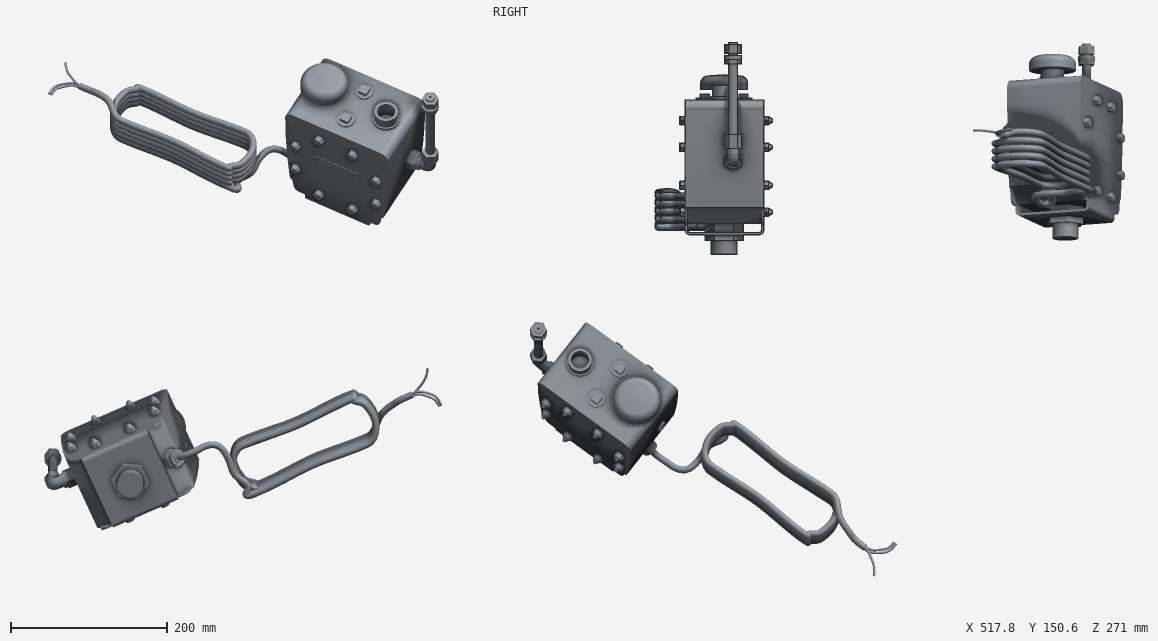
import cadquery as cq
import math

FRONT_Y = -49.5
BACK_Y = 51.0
DEPTH = BACK_Y - FRONT_Y
MIDDLE_Y = (FRONT_Y + BACK_Y) / 2
HALF_WIDTH = 74.5
TOP_Z = 85.0
BOTTOM_Z = -73.0
COVER_BOTTOM_Z = -75.0
TOP_FILLET = 11.5
SKIN_END_Z = -52.5
LEDGE_Z = -55.5
SIDE_TAPER = 6.5
LEDGE_WIDTH = 3.5
COVER_THICKNESS = 3.0
COVER_CORNER_INSET = 3.0
COVER_FILLET = 8.5

BOLT_SHORT = 24.5
BOLT_LONG = 58.5
BOLT_FLATS = 11.0
BOLT_HEX_HEIGHT = 6.0
BOLT_FACE_DIAMETER = 10.5
BOLT_FACE_HEIGHT = 1.0
DOME_DIAMETER = 10.0
DOME_HEIGHT = 4.9
DOME_SLOPE = 32

PLATE_WIDTH = 60.0
PLATE_HEIGHT = 33.0
PLATE_THICKNESS = 0.5
PLATE_X = 1.0
PLATE_Z = 2.5

BUTTON_X = -45.0
BUTTON_RADIUS = 30.0
BUTTON_CROWN_RADIUS = 22.5
BUTTON_BOTTOM_Z = 98.0
BUTTON_RIM_Z = 104.5
BUTTON_CROWN_Z = 115.5
BUTTON_TOP_Z = 117.0
STEM_DIAMETER = 30.0

NECK_X = 45.0
NECK_DIAMETER = 30.0
NECK_BORE = 23.5
NECK_TOP_Z = 103.5
NECK_BORE_DEPTH = 23.5
BASE_RING_DIAMETER = 33.5
BASE_RING_HEIGHT = 4.0

TOP_PLUG_Y = 25.0
TOP_PLUG_FLANGE_DIAMETER = 22.0
TOP_PLUG_FLANGE_HEIGHT = 2.5
TOP_PLUG_SQUARE = 12.0
TOP_PLUG_HEIGHT = 8.0

SIDE_PLUG_DIAMETER = 15.0
SIDE_PLUG_BORE = 12.0
SIDE_PLUG_Y = -14.0
SIDE_PLUG_Z = 6.5
SIDE_PLUG_PROUD = 1.5

BRACKET_WIDTH = 91.0
BRACKET_BOTTOM_Z = -87.5
BRACKET_THICKNESS = 3.0
BRACKET_BEND_RADIUS = 6.0
NUT_FLATS = 42.5
NUT_BOTTOM_Z = -95.0
CONNECTOR_DIAMETER = 33.0
CONNECTOR_BOTTOM_Z = -112.5

FITTING_Y = 11.5
FITTING_Z = 6.5
FITTING_START_X = 70.0
FITTING_HEX_FLATS = 22.0
FITTING_HEX_END_X = 85.5
FITTING_COLLAR_DIAMETER = 19.5
FITTING_COLLAR_END_X = 90.0
ELBOW_DIAMETER = 15.0
ELBOW_BEND_RADIUS = 8.0
RISER_X = 103.0
RISER_DIAMETER = 12.0
RISER_TOP_Z = 158.5
RISER_BORE = 3.0
RISER_BORE_DEPTH = 10.5
RISER_HEX_FLATS = 18.5
RISER_HEX_SPANS = [(23.0, 41.0), (131.0, 136.0), (144.5, 155.5)]
RISER_COLLAR_DIAMETER = 22.0
RISER_COLLAR_SPAN = (136.0, 142.0)

GLAND_Y = -0.5
GLAND_HEX_FLATS = 23.0
GLAND_HEX_LENGTH = 9.0
GLAND_DIAMETER = 22.0
GLAND_LENGTH = 16.0
GLAND_MOUTH_DIAMETER = 14.5
GLAND_MOUTH_LENGTH = 18.0
GLAND_BORE_DEPTH = 5.0

CABLE_DIAMETER = 9.0
COIL_X = -220.5
COIL_Y = -53.0
COIL_START_Z = -77.0
COIL_RISE_PER_HALF_TURN = 4.95
COIL_HALF_TURNS = 8
STRAND_RISE_SHARE = 0.64
STRAND_HALF_LENGTH = 73.0
COIL_HALF_WIDTH = 31.0
STRAND_PINCH = 3.5
COIL_HALF_LENGTH = 96.0
BEND_STEPS = 8

TAIL_END = (-370.0, -54.5, -44.0)
TAIL_POINTS = [(-307.5, -78.0, -33.0), (-322.5, -64.5, -33.5), (-345.0, -57.0, -39.5), TAIL_END]
WIRE_DIAMETER = 3.0
WIRE_OVERLAP = 1.5
UPPER_WIRE_RISE = 1.3
LOWER_WIRE_DROP = 0.8
LOWER_WIRE_SPACING = 3.0
JOINT_TOLERANCE = 0.005

LEDGE_X = HALF_WIDTH - SIDE_TAPER - LEDGE_WIDTH
CHAMFER = LEDGE_Z - BOTTOM_Z


def hexagon(plane, flats, length, corner_turn=0):
    """Hexagonal prism; its corners lie on the plane's local X axis when corner_turn is 0."""
    across_corners = flats / math.cos(math.pi / 6)
    outline = cq.Workplane(plane).transformed(rotate=(0, 0, corner_turn))
    return outline.polygon(6, across_corners).extrude(length)


def post(x, y, bottom, top, diameter):
    """Vertical round post between two heights."""
    return cq.Workplane("XY", origin=(x, y, bottom)).circle(diameter / 2).extrude(top - bottom)


def back_plane():
    """Workplane on the back of the housing; a positive extrusion runs toward the front."""
    return cq.Workplane("XZ", origin=(0, BACK_Y, 0))


def housing_shell():
    """Upper housing with slightly bowed sides and rounded top edges."""
    fillet_z = TOP_Z - TOP_FILLET
    lower_x = HALF_WIDTH - SIDE_TAPER
    bow_x = HALF_WIDTH - SIDE_TAPER / 4
    bow_z = (fillet_z + SKIN_END_Z) / 2
    flat_x = HALF_WIDTH - TOP_FILLET
    corner_offset = TOP_FILLET * (1 - math.sqrt(0.5))
    corner_x = HALF_WIDTH - corner_offset
    corner_z = TOP_Z - corner_offset
    outline = (
        back_plane()
        .moveTo(-lower_x, SKIN_END_Z)
        .threePointArc((-bow_x, bow_z), (-HALF_WIDTH, fillet_z))
        .threePointArc((-corner_x, corner_z), (-flat_x, TOP_Z))
        .lineTo(flat_x, TOP_Z)
        .threePointArc((corner_x, corner_z), (HALF_WIDTH, fillet_z))
        .threePointArc((bow_x, bow_z), (lower_x, SKIN_END_Z))
        .lineTo(LEDGE_X, LEDGE_Z)
        .lineTo(-LEDGE_X, LEDGE_Z)
        .close()
    )
    return outline.extrude(DEPTH)


def housing_base():
    """Lower core with 45-degree chamfers, closed by rounded cover plates at both ends."""
    core = (
        back_plane()
        .polyline(
            [
                (-LEDGE_X, LEDGE_Z),
                (LEDGE_X, LEDGE_Z),
                (LEDGE_X - CHAMFER, BOTTOM_Z),
                (CHAMFER - LEDGE_X, BOTTOM_Z),
            ]
        )
        .close()
        .extrude(DEPTH)
    )
    corner_x = LEDGE_X - COVER_CORNER_INSET
    covers = (
        back_plane()
        .polyline(
            [
                (-LEDGE_X, LEDGE_Z),
                (LEDGE_X, LEDGE_Z),
                (corner_x, COVER_BOTTOM_Z),
                (-corner_x, COVER_BOTTOM_Z),
            ]
        )
        .close()
        .extrude(DEPTH)
        .edges("|Y and <Z")
        .fillet(COVER_FILLET)
    )
    gap = cq.Workplane("XY", origin=(0, MIDDLE_Y, COVER_BOTTOM_Z))
    gap = gap.box(2 * HALF_WIDTH, DEPTH - 2 * COVER_THICKNESS, 2 * (LEDGE_Z - COVER_BOTTOM_Z))
    return core.union(covers.cut(gap))


def bolt(x, z):
    """Hex head on the front cover and a nut with a tapered cap on the back cover, in line."""
    head = hexagon(cq.Plane.named("XZ", origin=(x, FRONT_Y, z)), BOLT_FLATS, BOLT_HEX_HEIGHT)
    face = cq.Workplane("XZ", origin=(x, FRONT_Y - BOLT_HEX_HEIGHT, z))
    face = face.circle(BOLT_FACE_DIAMETER / 2).extrude(BOLT_FACE_HEIGHT)
    nut = hexagon(cq.Plane.named("XZ", origin=(x, BACK_Y, z)), BOLT_FLATS, -BOLT_HEX_HEIGHT)
    dome = cq.Workplane("XZ", origin=(x, BACK_Y + BOLT_HEX_HEIGHT, z))
    dome = dome.circle(DOME_DIAMETER / 2).extrude(-DOME_HEIGHT, taper=DOME_SLOPE)
    return head.union(face).union(nut).union(dome)


def nameplate():
    face = cq.Workplane("XZ", origin=(PLATE_X, FRONT_Y, PLATE_Z))
    return face.rect(PLATE_WIDTH, PLATE_HEIGHT).extrude(PLATE_THICKNESS)


def button():
    """Mushroom head on a round stem with a base ring."""
    shoulder_x = BUTTON_RADIUS - (BUTTON_RADIUS - BUTTON_CROWN_RADIUS) * 0.3
    shoulder_z = BUTTON_RIM_Z + (BUTTON_CROWN_Z - BUTTON_RIM_Z) * 0.7
    head = (
        cq.Workplane("XZ", origin=(BUTTON_X, 0, 0))
        .moveTo(0, BUTTON_BOTTOM_Z)
        .lineTo(BUTTON_RADIUS, BUTTON_BOTTOM_Z)
        .lineTo(BUTTON_RADIUS, BUTTON_RIM_Z)
        .threePointArc((shoulder_x, shoulder_z), (BUTTON_CROWN_RADIUS, BUTTON_CROWN_Z))
        .lineTo(0, BUTTON_TOP_Z)
        .close()
        .revolve(360, (0, 0, 0), (0, 1, 0))
    )
    stem = post(BUTTON_X, 0, TOP_Z, BUTTON_BOTTOM_Z, STEM_DIAMETER)
    ring = post(BUTTON_X, 0, TOP_Z, TOP_Z + BASE_RING_HEIGHT, BASE_RING_DIAMETER)
    return head.union(stem).union(ring)


def filler_neck():
    neck = post(NECK_X, 0, TOP_Z, NECK_TOP_Z, NECK_DIAMETER)
    return neck.union(post(NECK_X, 0, TOP_Z, TOP_Z + BASE_RING_HEIGHT, BASE_RING_DIAMETER))


def filler_bore():
    return post(NECK_X, 0, NECK_TOP_Z - NECK_BORE_DEPTH, NECK_TOP_Z, NECK_BORE)


def top_plug(y):
    flange = post(0, y, TOP_Z, TOP_Z + TOP_PLUG_FLANGE_HEIGHT, TOP_PLUG_FLANGE_DIAMETER)
    square = cq.Workplane("XY", origin=(0, y, TOP_Z)).rect(TOP_PLUG_SQUARE, TOP_PLUG_SQUARE)
    return flange.union(square.extrude(TOP_PLUG_HEIGHT))


def side_plug(diameter):
    """Cylinder along X standing slightly proud of the -X side."""
    start_x = -HALF_WIDTH - SIDE_PLUG_PROUD
    face = cq.Workplane("YZ", origin=(start_x, SIDE_PLUG_Y, SIDE_PLUG_Z))
    return face.circle(diameter / 2).extrude(2 * SIDE_PLUG_PROUD)


def bracket():
    """U-shaped strap whose legs continue the two covers below the housing."""
    height = LEDGE_Z - BRACKET_BOTTOM_Z
    middle_z = (LEDGE_Z + BRACKET_BOTTOM_Z) / 2
    strap = cq.Workplane("XY", origin=(0, MIDDLE_Y, middle_z)).box(BRACKET_WIDTH, DEPTH, height)
    strap = strap.edges("|X and <Z").fillet(BRACKET_BEND_RADIUS)
    opening = cq.Workplane("XY", origin=(0, MIDDLE_Y, middle_z + BRACKET_THICKNESS))
    opening = opening.box(BRACKET_WIDTH, DEPTH - 2 * BRACKET_THICKNESS, height)
    opening = opening.edges("|X and <Z").fillet(BRACKET_BEND_RADIUS - BRACKET_THICKNESS)
    return strap.cut(opening)


def bottom_connector():
    nut = hexagon(cq.Plane.named("XY", origin=(0, 0, NUT_BOTTOM_Z)), NUT_FLATS, BOTTOM_Z - NUT_BOTTOM_Z, 90)
    return nut.union(post(0, 0, CONNECTOR_BOTTOM_Z, NUT_BOTTOM_Z, CONNECTOR_DIAMETER))


def elbow():
    """Horizontal fitting that turns up into the riser pipe."""
    hex_plane = cq.Plane.named("YZ", origin=(FITTING_START_X, FITTING_Y, FITTING_Z))
    fitting = hexagon(hex_plane, FITTING_HEX_FLATS, FITTING_HEX_END_X - FITTING_START_X, 90)
    collar = cq.Workplane("YZ", origin=(FITTING_HEX_END_X, FITTING_Y, FITTING_Z))
    collar = collar.circle(FITTING_COLLAR_DIAMETER / 2).extrude(FITTING_COLLAR_END_X - FITTING_HEX_END_X)
    bend_start_x = RISER_X - ELBOW_BEND_RADIUS
    bend_end_z = FITTING_Z + ELBOW_BEND_RADIUS
    diagonal = ELBOW_BEND_RADIUS * math.sqrt(0.5)
    path = (
        cq.Workplane("XZ", origin=(0, FITTING_Y, 0))
        .moveTo(FITTING_HEX_END_X, FITTING_Z)
        .lineTo(bend_start_x, FITTING_Z)
        .threePointArc((bend_start_x + diagonal, bend_end_z - diagonal), (RISER_X, bend_end_z))
        .lineTo(RISER_X, RISER_HEX_SPANS[0][0])
    )
    tube = cq.Workplane("YZ", origin=(FITTING_HEX_END_X, FITTING_Y, FITTING_Z))
    return fitting.union(collar).union(tube.circle(ELBOW_DIAMETER / 2).sweep(path))


def riser():
    """Vertical pipe with its nuts and collar, drilled at the top."""
    pipe = post(RISER_X, FITTING_Y, RISER_HEX_SPANS[0][0], RISER_TOP_Z, RISER_DIAMETER)
    for bottom, top in RISER_HEX_SPANS:
        plane = cq.Plane.named("XY", origin=(RISER_X, FITTING_Y, bottom))
        pipe = pipe.union(hexagon(plane, RISER_HEX_FLATS, top - bottom, 90))
    pipe = pipe.union(post(RISER_X, FITTING_Y, *RISER_COLLAR_SPAN, RISER_COLLAR_DIAMETER))
    return pipe.cut(post(RISER_X, FITTING_Y, RISER_TOP_Z - RISER_BORE_DEPTH, RISER_TOP_Z, RISER_BORE))


GLAND_DIRECTION = cq.Vector(-1, 0, -1).normalized()
GLAND_BASE = cq.Vector(-LEDGE_X + CHAMFER / 2, GLAND_Y, LEDGE_Z - CHAMFER / 2)


def gland_plane(distance):
    """Plane square to the gland axis, at a distance out from the chamfer."""
    return cq.Plane(GLAND_BASE + GLAND_DIRECTION * distance, (0, 1, 0), GLAND_DIRECTION)


def gland():
    body = hexagon(gland_plane(0), GLAND_HEX_FLATS, GLAND_HEX_LENGTH)
    cap_length = GLAND_LENGTH - GLAND_HEX_LENGTH
    cap = cq.Workplane(gland_plane(GLAND_HEX_LENGTH)).circle(GLAND_DIAMETER / 2).extrude(cap_length)
    mouth_length = GLAND_MOUTH_LENGTH - GLAND_LENGTH
    mouth = cq.Workplane(gland_plane(GLAND_LENGTH)).circle(GLAND_MOUTH_DIAMETER / 2).extrude(mouth_length)
    bore = cq.Workplane(gland_plane(GLAND_MOUTH_LENGTH - GLAND_BORE_DEPTH))
    bore = bore.circle(CABLE_DIAMETER / 2).extrude(GLAND_BORE_DEPTH)
    return body.union(cap).union(mouth).cut(bore)


def make_switch_unit():
    """Housing with all the fittings fixed to it."""
    unit = housing_shell().union(housing_base()).union(bracket())
    for x_size, z_size in [(BOLT_SHORT, BOLT_LONG), (BOLT_LONG, BOLT_SHORT)]:
        for x in (-x_size, x_size):
            for z in (-z_size, z_size):
                unit = unit.union(bolt(x, z))
    for y in (-TOP_PLUG_Y, TOP_PLUG_Y):
        unit = unit.union(top_plug(y))
    for fitting in (nameplate(), button(), filler_neck(), bottom_connector(), elbow(), riser(), gland()):
        unit = unit.union(fitting)
    unit = unit.union(side_plug(SIDE_PLUG_DIAMETER))
    return unit.cut(side_plug(SIDE_PLUG_BORE)).cut(filler_bore())


def strand_heading(side):
    """Direction of the cable along a strand; side is 1 on the front strands and -1 on the back ones."""
    slope = STRAND_RISE_SHARE * COIL_RISE_PER_HALF_TURN / (2 * STRAND_HALF_LENGTH)
    return cq.Vector(-side, 0, slope)


def coil_stretches():
    """Point lists of the coil's strands and bends in turn, ending with a last front strand."""
    strand = [
        (STRAND_HALF_LENGTH, -COIL_HALF_WIDTH, 0),
        (0, STRAND_PINCH - COIL_HALF_WIDTH, STRAND_RISE_SHARE / 2),
        (-STRAND_HALF_LENGTH, -COIL_HALF_WIDTH, STRAND_RISE_SHARE),
    ]
    bend = []
    for step in range(BEND_STEPS + 1):
        progress = step / BEND_STEPS
        x = -STRAND_HALF_LENGTH - (COIL_HALF_LENGTH - STRAND_HALF_LENGTH) * math.sin(math.pi * progress)
        y = -COIL_HALF_WIDTH * math.cos(math.pi * progress)
        bend.append((x, y, STRAND_RISE_SHARE + (1 - STRAND_RISE_SHARE) * progress))
    stretches = []
    for half_turn in range(COIL_HALF_TURNS + 1):
        side = (-1) ** half_turn
        parts = [strand] if half_turn == COIL_HALF_TURNS else [strand, bend]
        for part in parts:
            points = []
            for x, y, share in part:
                z = COIL_START_Z + (half_turn + share) * COIL_RISE_PER_HALF_TURN
                points.append(cq.Vector(COIL_X + side * x, COIL_Y + side * y, z))
            end_side = side if part is strand else -side
            stretches.append((points, strand_heading(side), strand_heading(end_side)))
    return stretches


LEAD_POINTS = [
    (-83.0, GLAND_Y, -82.5),
    (-94.0, GLAND_Y, -81.5),
    (-106.5, GLAND_Y, -78.5),
    (-119.0, -6.0, -77.5),
    (-124.5, -18.5, -77.5),
    (-124.5, -35.0, -77.5),
    (-125.0, -53.0, -77.5),
    (-131.5, -74.5, -77.5),
]


def wire(points, end_heading):
    """Thin round wire along a level spline that starts toward -X."""
    path = cq.Workplane("XY").spline(points, tangents=[(-1, 0, 0), end_heading])
    start = cq.Workplane(cq.Plane(points[0], (0, 1, 0), (-1, 0, 0)))
    return start.circle(WIRE_DIAMETER / 2).sweep(path)


def cable_wires():
    """One wire curving toward +Y and a pair curving side by side toward -Y."""
    end_x, end_y, end_z = TAIL_END
    start_x = end_x + WIRE_OVERLAP
    upper_z = end_z + UPPER_WIRE_RISE
    lower_z = end_z - LOWER_WIRE_DROP
    upper_points = [
        (start_x, end_y, upper_z),
        (-378.0, -52.0, upper_z),
        (-393.0, -43.0, upper_z),
        (-402.5, -31.0, upper_z),
    ]
    wires = [wire(upper_points, (-0.5, 1, 0))]
    for side in (-1, 1):
        shift = side * LOWER_WIRE_SPACING / 2
        points = [
            (start_x, end_y + shift, lower_z),
            (-379.5 - shift / 2, -56.0 + shift, lower_z),
            (-391.5 - shift, -65.0 + shift, lower_z),
            (-397.0 - shift, -83.0, lower_z),
        ]
        wires.append(wire(points, (0, -1, 0)))
    return wires


def sweep_round(edges, heading):
    """Round cable along connected edges, starting square to the given heading."""
    path = cq.Workplane(cq.Wire.assembleEdges(edges))
    start = cq.Workplane(cq.Plane(edges[0].startPoint(), (0, 1, 0), heading))
    return start.circle(CABLE_DIAMETER / 2).sweep(path)


def join_end_to_end(first, second, joint):
    """One solid from two that meet in equal flat faces centred on the joint."""
    outer_faces = [
        face
        for body in (first, second)
        for face in body.faces().vals()
        if face.geomType() != "PLANE" or (face.Center() - joint).Length > JOINT_TOLERANCE
    ]
    return cq.Workplane(cq.Solid.makeSolid(cq.Shell.makeShell(outer_faces)))


def make_cable():
    """Round cable from the gland bore through the coil to its loose wires."""
    bore_end = GLAND_BASE + GLAND_DIRECTION * (GLAND_MOUTH_LENGTH - GLAND_BORE_DEPTH)
    mouth = GLAND_BASE + GLAND_DIRECTION * GLAND_MOUTH_LENGTH
    coil = coil_stretches()
    coil_start = coil[0][0][0]
    coil_end = coil[-1][0][-1]
    heading = strand_heading(1)

    lead = [mouth] + [cq.Vector(*point) for point in LEAD_POINTS] + [coil_start]
    run = [cq.Edge.makeLine(bore_end, mouth)]
    for points, start, end in [(lead, GLAND_DIRECTION, heading)] + coil:
        run.append(cq.Edge.makeSpline(points, tangents=[start, end]))
    body = sweep_round(run, GLAND_DIRECTION)

    tail_points = [coil_end] + [cq.Vector(*point) for point in TAIL_POINTS]
    tail_edge = cq.Edge.makeSpline(tail_points, tangents=[heading, cq.Vector(-1, 0, 0)])
    tail = sweep_round([tail_edge], heading)
    for strand in cable_wires():
        tail = tail.union(strand)
    return join_end_to_end(body, tail, coil_end)


switch_unit = make_switch_unit()
cable = make_cable()
result = cq.Compound.makeCompound([switch_unit.solids().val(), cable.val()])